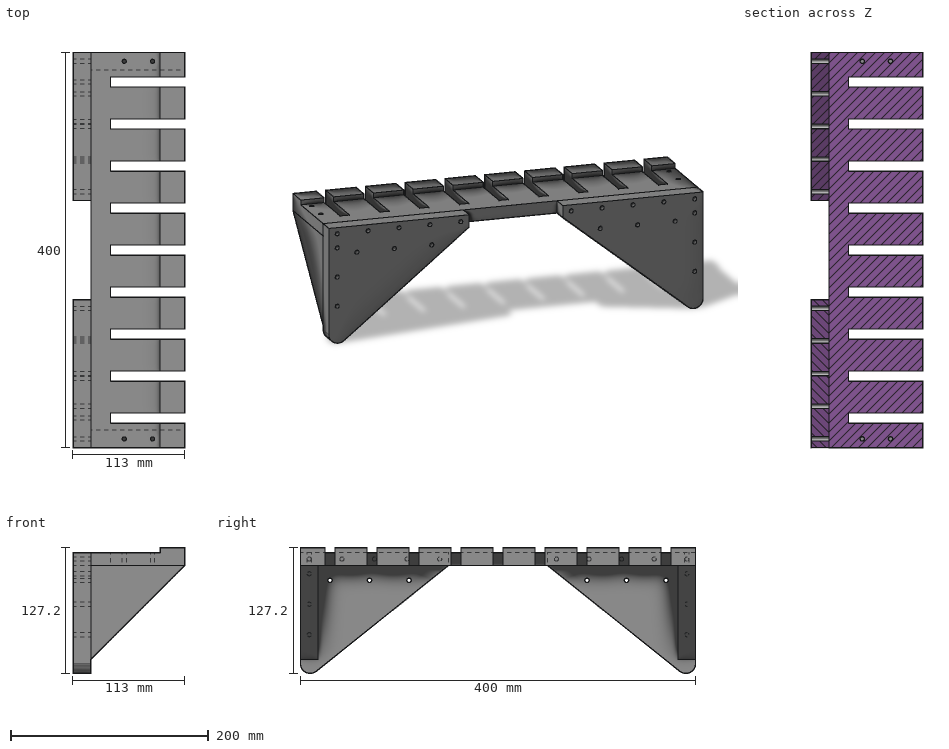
import cadquery as cq

board = 18.0
shelf_length = 400.0
shelf_depth = 95.0
lip_height = 5.0
lip_depth = 25.0
shelf_thickness = board - lip_height
shelf_front = board + shelf_depth
half_length = shelf_length / 2

slot_count = 9
slot_width = 10.0
end_tooth_width = 25.0
slot_back_wall = 20.0
slot_pitch = (shelf_length - 2 * end_tooth_width - slot_width) / (slot_count - 1)

bracket_width = 150.0
bracket_taper_drop = 120.0
bracket_corner_radius = 10.0
bracket_corner_z = -(shelf_thickness + bracket_taper_drop)

gusset_leg = shelf_depth

screw_diameter = 4.2
screw_inset = board / 2
shelf_row_count = 5
shelf_row_pitch = (bracket_width - 2 * screw_inset) / (shelf_row_count - 1)
shelf_row_z = -shelf_thickness / 2
gusset_column_top_z = -21.33
gusset_column_pitch = 30.83
gusset_column_count = 3
wall_row_first = 30.0
wall_row_pitch = 40.0
wall_row_count = 3
wall_row_z = -28.0
shelf_screw_xs = (51.7, 80.3)


def make_shelf():
    """Slotted shelf with a raised lip along its front edge."""
    profile = [
        (board, -shelf_thickness),
        (shelf_front, -shelf_thickness),
        (shelf_front, lip_height),
        (shelf_front - lip_depth, lip_height),
        (shelf_front - lip_depth, 0),
        (board, 0),
    ]
    shelf = cq.Workplane("XZ").polyline(profile).close().extrude(half_length, both=True)

    slot_length = shelf_depth - slot_back_wall
    slots = (
        cq.Workplane("XY")
        .workplane(offset=-shelf_thickness)
        .center(shelf_front - slot_length / 2, 0)
        .rarray(1, slot_pitch, 1, slot_count)
        .rect(slot_length, slot_width)
        .extrude(board)
    )

    screw_y = half_length - screw_inset
    screw_points = [(x, y) for x in shelf_screw_xs for y in (-screw_y, screw_y)]
    screws = (
        cq.Workplane("XY")
        .workplane(offset=-shelf_thickness)
        .pushPoints(screw_points)
        .circle(screw_diameter / 2)
        .extrude(shelf_thickness)
    )
    return shelf.cut(slots).cut(screws)


def bracket_screw_points():
    """(distance from the shelf end, Z) of every screw hole in a bracket."""
    shelf_row = [(screw_inset + i * shelf_row_pitch, shelf_row_z) for i in range(shelf_row_count)]
    gusset_column = [
        (screw_inset, gusset_column_top_z - i * gusset_column_pitch) for i in range(gusset_column_count)
    ]
    wall_row = [(wall_row_first + i * wall_row_pitch, wall_row_z) for i in range(wall_row_count)]
    return shelf_row + gusset_column + wall_row


def make_bracket(side):
    """Wall bracket at the -Y end (side = -1) or the +Y end (side = 1)."""

    def from_end(distance):
        return side * (half_length - distance)

    outline = [
        (from_end(0), 0),
        (from_end(bracket_width), 0),
        (from_end(bracket_width), -shelf_thickness),
        (from_end(0), bracket_corner_z),
    ]
    screw_points = [(from_end(distance), z) for distance, z in bracket_screw_points()]
    plate = (
        cq.Workplane("YZ").polyline(outline).close().extrude(board)
        .edges("|X").edges("<Z").fillet(bracket_corner_radius)
    )
    screws = cq.Workplane("YZ").pushPoints(screw_points).circle(screw_diameter / 2).extrude(board)
    return plate.cut(screws)


def make_gusset(side):
    """Triangular gusset flush with the -Y end (side = -1) or the +Y end (side = 1)."""
    outline = [
        (board, -shelf_thickness),
        (shelf_front, -shelf_thickness),
        (board, -shelf_thickness - gusset_leg),
    ]
    center_y = side * (half_length - board / 2)
    return (
        cq.Workplane("XZ", origin=(0, center_y, 0))
        .polyline(outline).close().extrude(board / 2, both=True)
    )


shelf = make_shelf()
brackets = [make_bracket(side) for side in (-1, 1)]
gussets = [make_gusset(side) for side in (-1, 1)]

bodies = [shelf] + brackets + gussets
result = cq.Compound.makeCompound([body.val() for body in bodies])